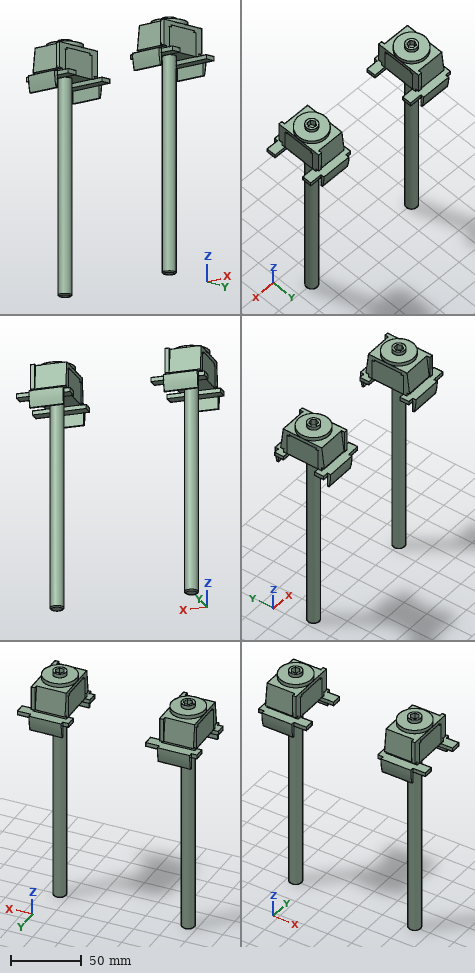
import cadquery as cq
import math

clamp_spacing = 100.0

screw_length = 185.0
head_height = 3.0
collar_thickness = 3.0
housing_height = 21.5
flange_thickness = 3.1
leg_length = 12.2
neck_height = 2.5
underside_drop = 0.4
roof_thickness = 3.0
step_height = 1.3

housing_top = screw_length - head_height - collar_thickness
housing_bottom = housing_top - housing_height
neck_top = housing_bottom + neck_height
wall_bottom = neck_top + underside_drop
block_top = housing_top - roof_thickness
shoulder_height = block_top - step_height

housing_length = 26.0
end_rib_length = 3.0
end_rib_half_width = 19.8
wall_top_half_width = 17.0
wall_bottom_half_width = 19.2
neck_half_width = 16.8

block_half_width = 13.7
shoulder_width = 1.8

flange_start_x = -17.0
flange_end_x = 23.0
flange_inner_y = block_half_width
flange_outer_y = 21.6
leg_width = 25.2
clip_width = 49.0
leg_outer_y = clip_width / 2
leg_tip_thickness = 1.3

screw_diameter = 10.0
collar_diameter = housing_length
socket_across_flats = 6.0
socket_depth = 5.0
end_chamfer = 1.0
screw_turns = (7, -1)


def along_x(outline, start_x, end_x):
    """Extrude a closed Y-Z outline from start_x to end_x."""
    return outline.extrude(end_x - start_x).translate((start_x, 0, 0))


def make_block_envelope():
    """Stepped block, also the shape of the cavity in the housing."""
    top_half_width = block_half_width - shoulder_width
    outline = (
        cq.Workplane("YZ")
        .moveTo(-block_half_width, housing_bottom)
        .lineTo(-block_half_width, shoulder_height)
        .lineTo(-top_half_width, shoulder_height)
        .lineTo(-top_half_width, block_top)
        .lineTo(top_half_width, block_top)
        .lineTo(top_half_width, shoulder_height)
        .lineTo(block_half_width, shoulder_height)
        .lineTo(block_half_width, housing_bottom)
        .close()
    )
    return along_x(outline, -housing_length / 2, housing_length / 2)


def make_shaft_hole():
    """Cylinder that clears the screw shaft."""
    return cq.Workplane("XY").circle(screw_diameter / 2).extrude(screw_length)


def shell_outline(top_half_width, bottom_half_width):
    """Housing end outline: side walls, an underside that drops inward, and the neck."""
    return (
        cq.Workplane("YZ")
        .moveTo(-bottom_half_width, wall_bottom)
        .lineTo(-top_half_width, housing_top)
        .lineTo(top_half_width, housing_top)
        .lineTo(bottom_half_width, wall_bottom)
        .lineTo(neck_half_width, neck_top)
        .lineTo(neck_half_width, housing_bottom)
        .lineTo(-neck_half_width, housing_bottom)
        .lineTo(-neck_half_width, neck_top)
        .close()
    )


def make_shell():
    """Housing with outward-sloping side walls and wider, upright walls at the +X end."""
    half_length = housing_length / 2
    walls = shell_outline(wall_top_half_width, wall_bottom_half_width)
    end_rib = shell_outline(end_rib_half_width, end_rib_half_width)
    return along_x(walls, -half_length, half_length).union(
        along_x(end_rib, half_length - end_rib_length, half_length)
    )


def leg_arc_middle(tip_y):
    """Middle of the leg's arc, whose tangent at the flange top is vertical."""
    setback = leg_outer_y - tip_y
    radius = (leg_length**2 + setback**2) / (2 * setback)
    half_angle = math.asin(leg_length / radius) / 2
    middle_y = leg_outer_y - radius * (1 - math.cos(half_angle))
    middle_z = housing_bottom - radius * math.sin(half_angle)
    return (middle_y, middle_z)


def make_flange():
    """Clip flange on the +Y side: a flat plate with a curved leg hanging from it."""
    plate = (
        cq.Workplane("XY")
        .workplane(offset=housing_bottom - flange_thickness)
        .moveTo(flange_start_x, flange_inner_y)
        .lineTo(flange_end_x, flange_inner_y)
        .lineTo(flange_end_x, flange_outer_y)
        .lineTo(flange_start_x, flange_outer_y)
        .close()
        .extrude(flange_thickness)
    )
    tip_y = flange_outer_y + leg_tip_thickness
    tip_z = housing_bottom - leg_length
    leg_outline = (
        cq.Workplane("YZ")
        .moveTo(flange_outer_y, tip_z)
        .lineTo(flange_outer_y, housing_bottom)
        .lineTo(leg_outer_y, housing_bottom)
        .threePointArc(leg_arc_middle(tip_y), (tip_y, tip_z))
        .close()
    )
    return plate.union(along_x(leg_outline, -leg_width / 2, leg_width / 2))


def make_housing():
    flange = make_flange()
    return (
        make_shell()
        .cut(make_block_envelope())
        .union(flange)
        .union(flange.mirror("XZ"))
        .cut(make_shaft_hole())
    )


def make_block():
    return make_block_envelope().cut(make_shaft_hole())


def make_screw():
    """Plain shaft with a collar resting on the housing and a hexagon socket on top."""
    shaft = (
        cq.Workplane("XY")
        .circle(screw_diameter / 2)
        .extrude(screw_length)
        .faces("<Z")
        .chamfer(end_chamfer)
    )
    collar = (
        cq.Workplane("XY")
        .workplane(offset=housing_top)
        .circle(collar_diameter / 2)
        .extrude(collar_thickness)
    )
    socket_across_corners = socket_across_flats / math.cos(math.pi / 6)
    socket = (
        cq.Workplane("XY")
        .workplane(offset=screw_length - socket_depth)
        .polygon(6, socket_across_corners)
        .extrude(socket_depth)
    )
    return shaft.union(collar).cut(socket)


housing = make_housing()
block = make_block()
screw = make_screw()

bodies = []
for index, turn in enumerate(screw_turns):
    position = (index * clamp_spacing, 0, 0)
    turned_screw = screw.rotate((0, 0, 0), (0, 0, 1), turn)
    for body in (housing, block, turned_screw):
        bodies.append(body.translate(position).val())

result = cq.Compound.makeCompound(bodies)